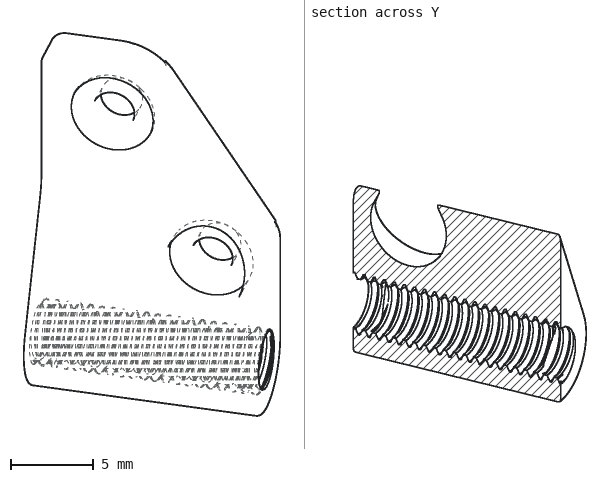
import cadquery as cq
import math

width = 14.38
height = 22.55

plate_thickness = 2.5
barrel_radius = 3.302
bend_radius = 3.0
bend_height = 13.05

top_corner_radius = 1.0
top_arc_radius = 4.0
side_corner_radius = 2.0
slant_start_x = 7.73
slant_end = (width, 10.82)

edge_fillet = 0.2
sharp_rim_start = 7.15
sharp_rim_end = 14.05

hole_diameter = 2.6
counterbore_diameter = 5.2
counterbore_depth = 0.5
upper_hole = (4.4, height - top_arc_radius)
lower_hole = (10.55, 9.33)

thread_minor = 3.34
thread_major = 4.1
thread_pitch = 0.7
groove_root_width = thread_pitch / 8
groove_mouth_width = thread_pitch * 0.75
groove_overlap = 0.05
sleeve_radius = 2.7

margin = 0.02

depth = 2 * barrel_radius
back_y = barrel_radius
plate_front_y = back_y - plate_thickness


def arc_point(x):
    """Point on the rounded top, concentric with the upper hole."""
    return x, upper_hole[1] + math.sqrt(top_arc_radius**2 - (x - upper_hole[0])**2)


def side_body():
    """Plate and barrel profile, extruded across the width."""
    run_y = plate_front_y
    run_z = bend_height - barrel_radius
    distance = math.hypot(run_y, run_z)
    tangent_angle = math.atan2(run_z, run_y) + math.acos(barrel_radius / distance)
    tangent = (
        barrel_radius * math.cos(tangent_angle),
        barrel_radius + barrel_radius * math.sin(tangent_angle),
    )
    body = (
        cq.Workplane("YZ")
        .moveTo(back_y, barrel_radius)
        .lineTo(back_y, height)
        .lineTo(plate_front_y, height)
        .lineTo(plate_front_y, bend_height)
        .lineTo(*tangent)
        .threePointArc((0, 0), (back_y, barrel_radius))
        .close()
        .extrude(width)
    )
    bend_edge = cq.selectors.NearestToPointSelector((width / 2, plate_front_y, bend_height))
    return body.edges(bend_edge).fillet(bend_radius)


def front_outline():
    """Rounded and slanted front outline, extruded through the full depth."""
    arc_middle = arc_point((upper_hole[0] + slant_start_x) / 2)
    outline = (
        cq.Workplane("XZ", origin=(0, back_y, 0))
        .lineTo(0, height)
        .lineTo(upper_hole[0], height)
        .threePointArc(arc_middle, arc_point(slant_start_x))
        .lineTo(*slant_end)
        .lineTo(width, 0)
        .close()
        .extrude(depth)
    )
    top_corner = cq.selectors.NearestToPointSelector((0, 0, height))
    side_corner = cq.selectors.NearestToPointSelector((slant_end[0], 0, slant_end[1]))
    outline = outline.edges(top_corner).fillet(top_corner_radius)
    return outline.edges(side_corner).fillet(side_corner_radius)


def round_rim(body):
    """Round the closed rim of the outline, leaving the slanted stretch of the back rim sharp."""
    rim_edge = cq.selectors.NearestToPointSelector((0, plate_front_y, (bend_height + height) / 2))
    rounded = body.edges(rim_edge).fillet(edge_fillet)
    sharp_zone = cq.Workplane("XY").box(
        sharp_rim_end - sharp_rim_start, edge_fillet, height, centered=False
    ).translate((sharp_rim_start, back_y - edge_fillet, barrel_radius + edge_fillet))
    return rounded.union(body.intersect(sharp_zone))


def circle_zone(center, diameter, front, back):
    """Selector for edges within a circle's square outline, between two Y positions."""
    half = diameter / 2 + margin
    return cq.selectors.BoxSelector(
        (center[0] - half, front, center[1] - half),
        (center[0] + half, back, center[1] + half),
        boundingbox=True,
    )


def cut_screw_hole(body, center):
    """Through hole with a counterbore, both mouths rounded."""
    floor_y = plate_front_y + counterbore_depth
    floor = cq.Workplane("XZ", origin=(center[0], floor_y, center[1]))
    bore = floor.circle(counterbore_diameter / 2).extrude(depth)
    hole = floor.circle(hole_diameter / 2).extrude(-depth)
    body = body.cut(bore).cut(hole)
    hole_mouth = circle_zone(center, hole_diameter, floor_y - margin, floor_y + margin)
    bore_mouth = circle_zone(center, counterbore_diameter, -depth, floor_y - margin)
    body = body.edges(hole_mouth).fillet(edge_fillet)
    return body.edges(bore_mouth).edges("not |Y").fillet(edge_fillet)


def barrel_cylinder(radius, start, end):
    """Cylinder on the barrel axis between two X positions."""
    base = cq.Workplane("YZ", origin=(start, 0, barrel_radius))
    return base.circle(radius).extrude(end - start)


def thread_groove(start, length):
    """Helical groove along the barrel axis, starting at its lowest point."""
    inner = thread_minor / 2 - groove_overlap
    helix = cq.Wire.makeHelix(thread_pitch, length, inner)
    groove = (
        cq.Workplane("XZ")
        .polyline([
            (inner, -groove_mouth_width / 2),
            (thread_major / 2, -groove_root_width / 2),
            (thread_major / 2, groove_root_width / 2),
            (inner, groove_mouth_width / 2),
        ])
        .close()
        .sweep(cq.Workplane(obj=helix), isFrenet=True)
    )
    return groove.rotate((0, 0, 0), (0, 1, 0), 90).translate((start, 0, barrel_radius))


def add_thread(body):
    """Threaded hole along the barrel."""
    overrun = 3 * thread_pitch
    sleeve = barrel_cylinder(sleeve_radius, -overrun, width + overrun)
    sleeve = sleeve.cut(barrel_cylinder(thread_minor / 2, -overrun, width + overrun))
    sleeve = sleeve.cut(thread_groove(-thread_pitch, width + 2 * thread_pitch))
    core = barrel_cylinder(sleeve_radius, 0, width)
    trim = barrel_cylinder(barrel_radius, 0, width)
    return body.cut(core).union(sleeve.intersect(trim))


result = round_rim(side_body().intersect(front_outline()))
for hole_center in (upper_hole, lower_hole):
    result = cut_screw_hole(result, hole_center)
result = add_thread(result)